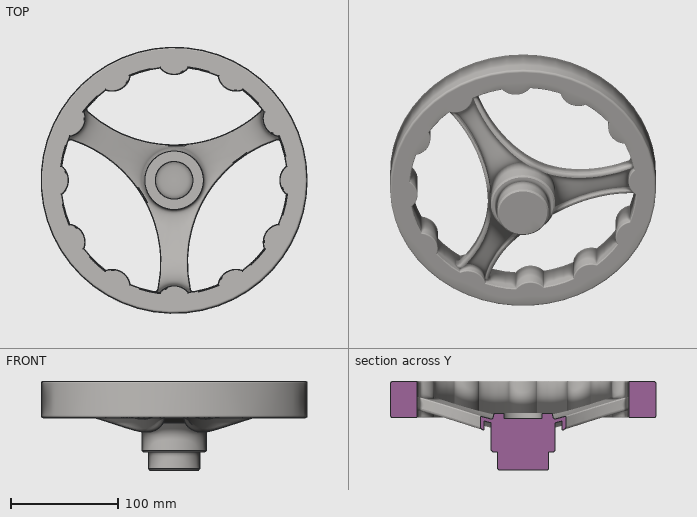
import cadquery as cq
import math

RIM_RADIUS = 124.0
RIM_HEIGHT = 34.0
RIM_INNER_RADIUS = 105.5
RIM_OUTER_ROUND = 2.0
RIM_INNER_ROUND = 1.0
LOBE_COUNT = 12
LOBE_RADIUS = 17.0
LOBE_TIP_RADIUS = 98.5

TOTAL_HEIGHT = 83.0
HUB_TOP_Z = -30.0
HUB_RADIUS = 30.0
HUB_SHOULDER_Z = -66.0
HUB_EDGE_CHAMFER = 1.5
STEM_RADIUS = 24.0
STEM_EDGE_CHAMFER = 1.5
BOSS_TOP_RADIUS = 27.3
BOSS_DRAFT = 15.0
BOSS_BASE_ROUND = 1.5
RECESS_RADIUS = 17.5
RECESS_DEPTH = 4.5

WINDOW_COUNT = 3
WINDOW_ANGLE = 90.0
WINDOW_RADIUS = 120.0
WINDOW_NEAREST_RADIUS = 33.0
WINDOW_CORNER_RADIUS = 3.0
RIM_OVERLAP = 0.1
WEB_SLOPE = math.tan(math.radians(15.0))
WEB_HEIGHT = 12.5
WEB_APEX_Z = -43.0
WEB_OUTER_RADIUS = RIM_INNER_RADIUS + 6.0
WEB_EDGE_ROUND = 1.0
LIP_ROUND = 2.5
WALL_THICKNESS = 3.2
FLOOR_HEIGHT = 4.0

WINDOW_CENTER_RADIUS = WINDOW_NEAREST_RADIUS + WINDOW_RADIUS


def cylinder(radius, z_low, z_high):
    return cq.Workplane("XY").workplane(offset=z_low).circle(radius).extrude(z_high - z_low)


def web_top_z(radius):
    return WEB_APEX_Z + WEB_SLOPE * radius


def conical_plate(radius, depth_top, depth_bottom):
    """Dished disc between two parallel cones, given by depths below the web top."""
    profile = [
        (0, web_top_z(0) - depth_top),
        (radius, web_top_z(radius) - depth_top),
        (radius, web_top_z(radius) - depth_bottom),
        (0, web_top_z(0) - depth_bottom),
    ]
    return cq.Workplane("XZ").polyline(profile).close().revolve(360, (0, 0, 0), (0, 1, 0))


def around_axis(body, count, start_angle):
    for index in range(count):
        yield body.rotate((0, 0, 0), (0, 0, 1), start_angle + index * 360.0 / count)


def window_cylinder(radius):
    return cylinder(radius, -TOTAL_HEIGHT, 0).translate((WINDOW_CENTER_RADIUS, 0, 0))


def make_rim():
    rim = cylinder(RIM_RADIUS, -RIM_HEIGHT, 0).cut(cylinder(RIM_INNER_RADIUS, -RIM_HEIGHT, 0))
    rim = rim.edges(cq.selectors.RadiusNthSelector(0)).fillet(RIM_INNER_ROUND)
    rim = rim.edges(cq.selectors.RadiusNthSelector(-1)).fillet(RIM_OUTER_ROUND)
    lobe = cylinder(LOBE_RADIUS, -RIM_HEIGHT, 0).edges().fillet(RIM_INNER_ROUND)
    lobe = lobe.translate((LOBE_TIP_RADIUS + LOBE_RADIUS, 0, 0))
    lobe = lobe.intersect(cylinder((RIM_RADIUS + RIM_INNER_RADIUS) / 2, -RIM_HEIGHT, 0))
    for placed_lobe in around_axis(lobe, LOBE_COUNT, 0):
        rim = rim.union(placed_lobe)
    return rim


def make_web():
    web = conical_plate(WEB_OUTER_RADIUS, 0, WEB_HEIGHT)
    window_limit = cylinder(RIM_INNER_RADIUS + RIM_OVERLAP, -TOTAL_HEIGHT, 0)
    window = window_cylinder(WINDOW_RADIUS).intersect(window_limit)
    window = window.edges("|Z").fillet(WINDOW_CORNER_RADIUS)
    for placed_window in around_axis(window, WINDOW_COUNT, WINDOW_ANGLE):
        web = web.cut(placed_window)
    inside = cq.selectors.BoxSelector(
        (-RIM_INNER_RADIUS, -RIM_INNER_RADIUS, -TOTAL_HEIGHT), (RIM_INNER_RADIUS, RIM_INNER_RADIUS, 0)
    )
    web = web.faces("<Z").edges(inside).fillet(LIP_ROUND)
    web = web.faces("%CONE").faces(">Z").edges(inside).fillet(WEB_EDGE_ROUND)
    pocket = conical_plate(RIM_INNER_RADIUS, FLOOR_HEIGHT, 2 * WEB_HEIGHT)
    for wall in around_axis(window_cylinder(WINDOW_RADIUS + WALL_THICKNESS), WINDOW_COUNT, WINDOW_ANGLE):
        pocket = pocket.cut(wall)
    return web.cut(pocket)


def make_hub():
    hub = cylinder(HUB_RADIUS, HUB_SHOULDER_Z, web_top_z(HUB_RADIUS) - FLOOR_HEIGHT / 2)
    hub = hub.faces("<Z").edges().chamfer(HUB_EDGE_CHAMFER)
    stem = cylinder(STEM_RADIUS, -TOTAL_HEIGHT, HUB_SHOULDER_Z)
    stem = stem.faces("<Z").edges().chamfer(STEM_EDGE_CHAMFER)
    boss_height = HUB_TOP_Z - web_top_z(BOSS_TOP_RADIUS) + FLOOR_HEIGHT / 2
    boss = cq.Workplane("XY").workplane(offset=HUB_TOP_Z).circle(BOSS_TOP_RADIUS)
    boss = boss.extrude(-boss_height, taper=-BOSS_DRAFT)
    return hub.union(stem).union(boss)


wheel = make_web().union(make_hub())
boss_base = cq.selectors.BoxSelector((-1, -1, HUB_TOP_Z - 10), (1, 1, HUB_TOP_Z - 1))
wheel = wheel.edges("%CIRCLE").edges(boss_base).fillet(BOSS_BASE_ROUND)
wheel = wheel.cut(cylinder(RECESS_RADIUS, HUB_TOP_Z - RECESS_DEPTH, HUB_TOP_Z))
result = wheel.union(make_rim())